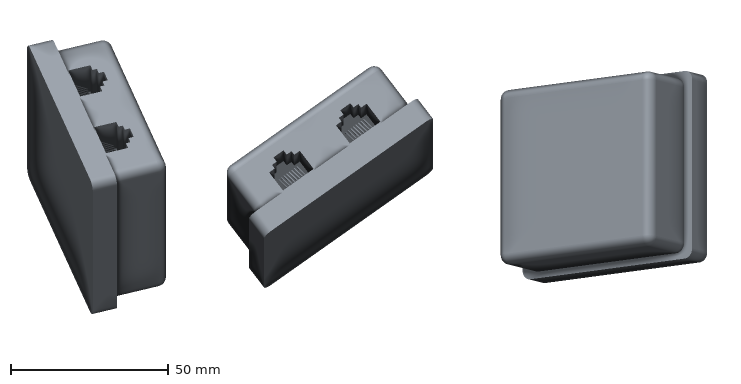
import cadquery as cq

PLATE_WIDTH = 66.8
PLATE_HEIGHT = 60.7
PLATE_THICKNESS = 8.15

TOTAL_DEPTH = 26.3
BOX_WIDTH = 60.45
BOX_HEIGHT = 56.45
CORNER_RADIUS = 3.0
BOX_TOP = BOX_HEIGHT / 2

JACK_SPACING = 26.4
JACK_WIDTH = 16.3
JACK_HEIGHT = 12.75
JACK_DEPTH = 16.0
JACK_PLATE_GAP = 0.2
JACK_BASE_Y = PLATE_THICKNESS + JACK_PLATE_GAP
JACK_CENTERS_X = (-JACK_SPACING / 2, JACK_SPACING / 2)

SOCKET_DEPTH = 12.0
SOCKET_FLOOR = 0.75
SOCKET_STEPS = (
    (12.1, 8.15),
    (7.7, 9.6),
    (3.95, 11.35),
)

CONTACT_COUNT = 8
CONTACT_ROW_WIDTH = 7.15
CONTACT_PITCH = CONTACT_ROW_WIDTH / (CONTACT_COUNT - 1)
CONTACT_DIAMETER = 0.55
CONTACT_RISE = 5.55
CONTACT_DROP = 4.0
CONTACT_EMBED = 0.3
CONTACT_ROOT_DEPTH = 4.0


def block(width, depth, height, center_x, front_y, bottom_z):
    """Box centred on center_x, starting at front_y and bottom_z."""
    return cq.Workplane("XY").box(width, depth, height, centered=(True, False, False)).translate(
        (center_x, front_y, bottom_z)
    )


def jack_envelope(center_x):
    return block(JACK_WIDTH, JACK_HEIGHT, JACK_DEPTH, center_x, JACK_BASE_Y, BOX_TOP - JACK_DEPTH)


def make_housing():
    """Plate and rounded box in one piece, with a pocket for each jack."""
    plate = block(PLATE_WIDTH, PLATE_THICKNESS, PLATE_HEIGHT, 0, 0, -PLATE_HEIGHT / 2)
    plate = plate.edges("|Y").fillet(CORNER_RADIUS)
    box = block(BOX_WIDTH, TOTAL_DEPTH, BOX_HEIGHT, 0, 0, -BOX_TOP)
    box = box.edges("|Y").fillet(CORNER_RADIUS).faces(">Y").edges().fillet(CORNER_RADIUS)
    housing = plate.union(box)
    for center_x in JACK_CENTERS_X:
        housing = housing.cut(jack_envelope(center_x))
    return housing


def make_socket(center_x):
    """Plug-shaped cavity that narrows in steps towards the latch slot."""
    floor_y = JACK_BASE_Y + SOCKET_FLOOR
    socket = cq.Workplane("XY")
    for width, top in SOCKET_STEPS:
        step = block(width, top - SOCKET_FLOOR, SOCKET_DEPTH, center_x, floor_y, BOX_TOP - SOCKET_DEPTH)
        socket = socket.union(step)
    return socket


def make_contact(x):
    """One straight wire, rooted in the socket floor and leaning inwards."""
    foot = cq.Vector(x, JACK_BASE_Y + SOCKET_FLOOR, BOX_TOP - CONTACT_ROOT_DEPTH)
    tip = foot + cq.Vector(0, CONTACT_RISE, -CONTACT_DROP)
    axis = (tip - foot).normalized()
    root = foot - axis * CONTACT_EMBED
    return cq.Workplane(cq.Solid.makeCylinder(CONTACT_DIAMETER / 2, (tip - root).Length, root, axis))


def make_jack(center_x):
    jack = jack_envelope(center_x).cut(make_socket(center_x))
    first_x = center_x - CONTACT_ROW_WIDTH / 2
    for index in range(CONTACT_COUNT):
        jack = jack.union(make_contact(first_x + index * CONTACT_PITCH))
    return jack


housing = make_housing()
jacks = [make_jack(center_x) for center_x in JACK_CENTERS_X]

result = cq.Compound.makeCompound([housing.solids().val(), *[jack.solids().val() for jack in jacks]])